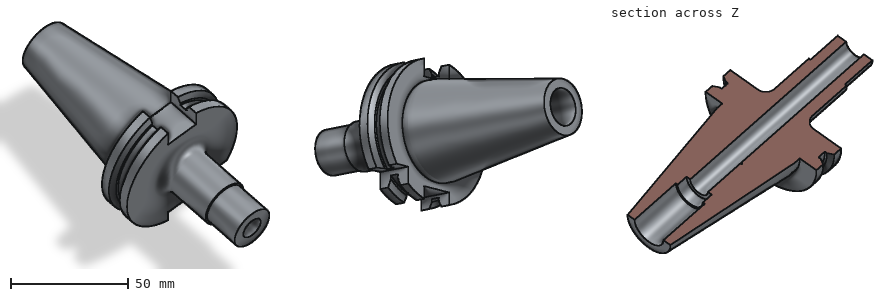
import cadquery as cq
import math

total_length = 131.7
taper_end = 68.4
flange_start = 71.5
flange_end = 87.5
neck_end = 114.3

gauge_radius = 22.3
taper_ratio = 7 / 24
small_end_radius = gauge_radius - taper_end * taper_ratio / 2
flange_radius = 31.7
neck_radius = 10.9
shank_radius = 10.0
neck_fillet = 5.0

groove_center = 79.4
groove_floor_width = 3.8
groove_depth = 4.0
groove_flank_width = 1.6
groove_flank_depth = groove_flank_width * math.tan(math.radians(60))

slot_width = 16.1
upper_slot_floor = 22.8
lower_slot_floor = 25.2
notch_offset = 18.5

counterbore_radius = 8.2
counterbore_depth = 26.3
thread_radius = 7.1
thread_depth = 32.0
through_radius = 5.0


def turned_body():
    """Taper, collar, flange blank, filleted neck and shank in one revolve."""
    fillet_drop = neck_fillet * (1 - math.sin(math.radians(45)))
    profile = (
        cq.Workplane("XY")
        .lineTo(0, small_end_radius)
        .lineTo(taper_end, gauge_radius)
        .lineTo(flange_start, gauge_radius)
        .lineTo(flange_start, flange_radius)
        .lineTo(flange_end, flange_radius)
        .lineTo(flange_end, neck_radius + neck_fillet)
        .threePointArc(
            (flange_end + fillet_drop, neck_radius + fillet_drop),
            (flange_end + neck_fillet, neck_radius),
        )
        .lineTo(neck_end, neck_radius)
        .lineTo(neck_end, shank_radius)
        .lineTo(total_length, shank_radius)
        .lineTo(total_length, 0)
        .close()
    )
    return profile.revolve(360, (0, 0, 0), (1, 0, 0))


def gripper_groove():
    """Ring with sloped flanks above a straight-sided floor."""
    half_floor = groove_floor_width / 2
    half_mouth = half_floor + groove_flank_width
    floor_radius = flange_radius - groove_depth
    flank_radius = flange_radius - groove_flank_depth
    profile = cq.Workplane("XY").polyline([
        (groove_center - half_mouth, flange_radius),
        (groove_center - half_floor, flank_radius),
        (groove_center - half_floor, floor_radius),
        (groove_center + half_floor, floor_radius),
        (groove_center + half_floor, flank_radius),
        (groove_center + half_mouth, flange_radius),
    ]).close()
    return profile.revolve(360, (0, 0, 0), (1, 0, 0))


def flange_cut(y_min, y_max, z_min, z_max):
    """Block spanning the full flange width."""
    return cq.Workplane("XY").box(
        flange_end - flange_start, y_max - y_min, z_max - z_min, centered=False
    ).translate((flange_start, y_min, z_min))


def bore(radius, depth):
    """Cylinder along the axis from the small end of the taper."""
    return cq.Workplane("YZ").circle(radius).extrude(depth)


result = turned_body().cut(gripper_groove())

half_slot = slot_width / 2
result = result.cut(flange_cut(-half_slot, half_slot, upper_slot_floor, flange_radius))
result = result.cut(flange_cut(-half_slot, half_slot, -flange_radius, -lower_slot_floor))

result = result.cut(flange_cut(notch_offset, flange_radius, -flange_radius, -notch_offset))

for radius, depth in (
    (counterbore_radius, counterbore_depth),
    (thread_radius, thread_depth),
    (through_radius, total_length),
):
    result = result.cut(bore(radius, depth))